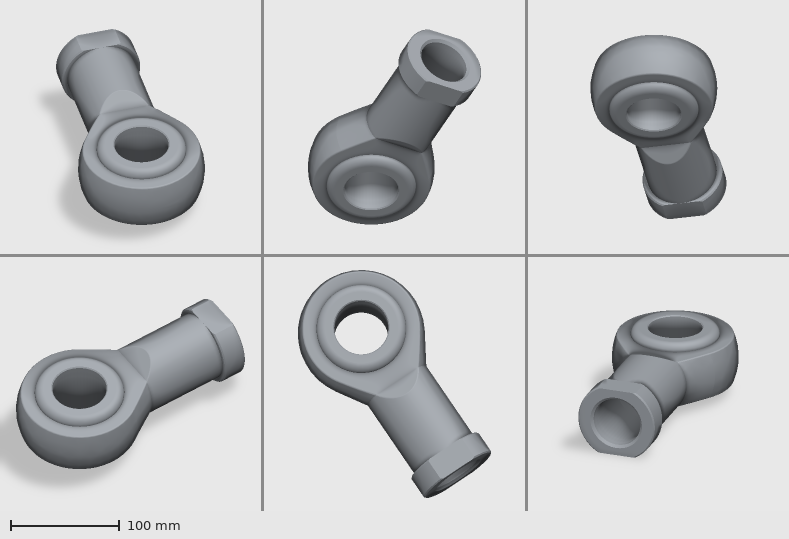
import cadquery as cq
import math


EYE_TO_END = 160.0
EYE_RADIUS = 58.5
EYE_THICKNESS = 45.0
RIM_ROUND = 1.6

SHANK_RADIUS = 32.5
SHANK_LENGTH = 101.0
COLLAR_RADIUS = 37.5
COLLAR_LENGTH = 22.5
COLLAR_CHAMFER = 1.25
FLATS_WIDTH = 2 * SHANK_RADIUS
SLOPE_LENGTH = 16.0

THREAD_RADIUS = 22.9
THREAD_MOUTH_RADIUS = 25.3
THREAD_DEPTH = 68.0
DRILL_POINT_ANGLE = 120.0
GREASE_HOLE_RADIUS = 2.5

BALL_WIDTH = 60.0
BALL_RADIUS = 41.3
BALL_ROUND = 7.5
PIN_RADIUS = 25.0
PIN_CHAMFER = 1.0

END_X = -EYE_TO_END
NECK_X = END_X + SHANK_LENGTH
FACE_Z = EYE_THICKNESS / 2


def neck_tangent_point():
    """Point where a line from the neck start touches the eye circle."""
    distance = math.hypot(NECK_X, SHANK_RADIUS)
    start_angle = math.atan2(SHANK_RADIUS, NECK_X)
    touch_angle = start_angle - math.acos(EYE_RADIUS / distance)
    return EYE_RADIUS * math.cos(touch_angle), EYE_RADIUS * math.sin(touch_angle)


def revolve_about_x(profile):
    """Close a half outline along the shank axis and turn it into a solid."""
    return profile.close().revolve(360, (0, 0, 0), (1, 0, 0))


def make_body():
    """Shank, conical neck and spherical eye, before the eye faces are cut."""
    tangent_x, tangent_y = neck_tangent_point()
    profile = (
        cq.Workplane("XY")
        .moveTo(END_X, 0)
        .lineTo(END_X, SHANK_RADIUS)
        .lineTo(NECK_X, SHANK_RADIUS)
        .lineTo(tangent_x, tangent_y)
        .threePointArc((0, EYE_RADIUS), (EYE_RADIUS, 0))
    )
    return revolve_about_x(profile)


def make_side_envelope():
    """Side outline with the slopes and the two flat faces, oversize everywhere else."""
    slope_rise = (SHANK_RADIUS - FACE_Z) / SLOPE_LENGTH
    end_z = FACE_Z + SHANK_LENGTH * slope_rise
    upper = [(END_X, end_z), (NECK_X, FACE_Z), (EYE_TO_END, FACE_Z)]
    lower = [(x, -z) for x, z in reversed(upper)]
    return cq.Workplane("XZ").polyline(upper + lower).close().extrude(EYE_TO_END, both=True)


def round_face_rims(body):
    """Round the rims of the flat faces and slopes, leaving their shared straight edges sharp."""
    rims = body.faces("%PLANE and (not |X)").edges("not |Y")
    return rims.fillet(RIM_ROUND)


def make_collar():
    """Round wrench collar with two flats and chamfered ends."""
    disc = cq.Workplane("YZ", origin=(END_X, 0, 0)).circle(COLLAR_RADIUS).extrude(COLLAR_LENGTH)
    disc = disc.edges().chamfer(COLLAR_CHAMFER)
    across = cq.Workplane("YZ", origin=(END_X, 0, 0)).rect(2 * COLLAR_RADIUS, FLATS_WIDTH)
    return disc.intersect(across.extrude(COLLAR_LENGTH))


def make_thread_bore():
    """Blind bore with a 45 degree countersink and a conical drill point."""
    bottom_x = END_X + THREAD_DEPTH
    half_angle = math.radians(DRILL_POINT_ANGLE / 2)
    tip_x = bottom_x + THREAD_RADIUS / math.tan(half_angle)
    profile = (
        cq.Workplane("XY")
        .moveTo(END_X, 0)
        .lineTo(END_X, THREAD_MOUTH_RADIUS)
        .lineTo(END_X + THREAD_MOUTH_RADIUS - THREAD_RADIUS, THREAD_RADIUS)
        .lineTo(bottom_x, THREAD_RADIUS)
        .lineTo(tip_x, 0)
    )
    return revolve_about_x(profile)


def make_grease_hole():
    """Axial hole from the bore towards the eye centre, later closed off by the ball."""
    start_x = END_X + THREAD_DEPTH
    return cq.Workplane("YZ", origin=(start_x, 0, 0)).circle(GREASE_HOLE_RADIUS).extrude(-start_x)


def make_ball():
    """Bearing ring standing proud of both eye faces, with rounded rims."""
    ring = cq.Workplane("XY").circle(BALL_RADIUS).extrude(BALL_WIDTH / 2, both=True)
    return ring.edges("%CIRCLE").fillet(BALL_ROUND)


def make_pin_hole():
    """Through hole of the ball with a chamfer at each mouth."""
    half_width = BALL_WIDTH / 2
    mouth_radius = PIN_RADIUS + PIN_CHAMFER
    profile = (
        cq.Workplane("XZ")
        .moveTo(0, -half_width)
        .lineTo(mouth_radius, -half_width)
        .lineTo(PIN_RADIUS, PIN_CHAMFER - half_width)
        .lineTo(PIN_RADIUS, half_width - PIN_CHAMFER)
        .lineTo(mouth_radius, half_width)
        .lineTo(0, half_width)
        .close()
    )
    return profile.revolve(360, (0, 0, 0), (0, 1, 0))


eye_and_shank = make_body().intersect(make_side_envelope())
eye_and_shank = round_face_rims(eye_and_shank)
result = eye_and_shank.union(make_collar()).cut(make_thread_bore()).cut(make_grease_hole())
result = result.union(make_ball()).cut(make_pin_hole())